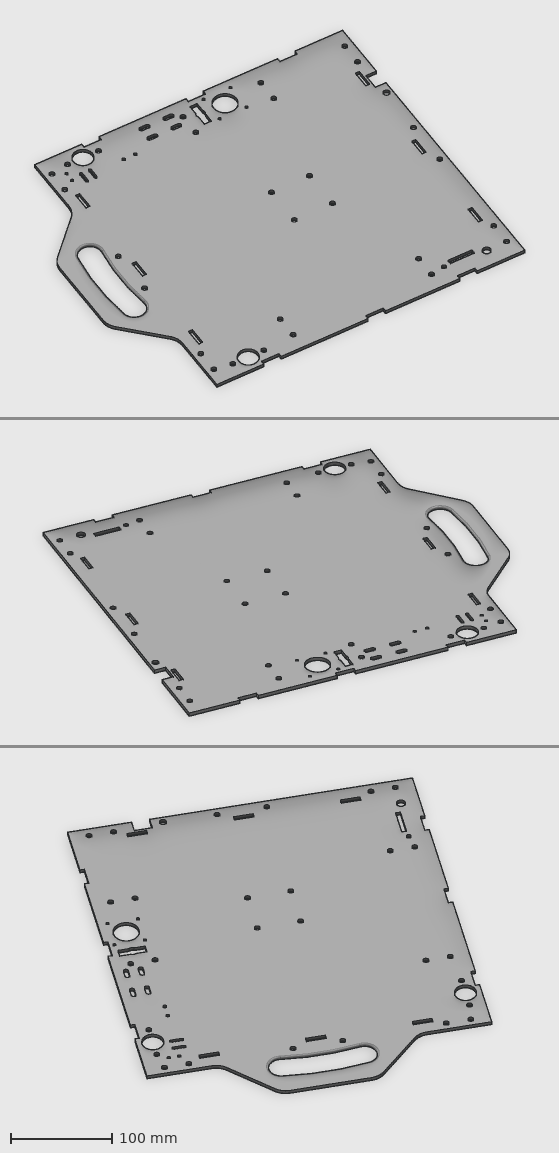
import cadquery as cq
import math

width = 350.0
length = 407.0
thickness = 4.0
side_x = width / 2
back_y = length / 2
handle_y = -length / 2
shoulder_y = -152.2
shoulder_x = 101.0
handle_corner_x = shoulder_x - (shoulder_y - handle_y)
handle_corner_radius = 20.0

grip_half_span = 42.5
grip_y = -168.0
grip_sag = 3.3
grip_width = 29.0

tab_length = 20.0
tab_width = 4.5
tab_slot_x = 108.3
tab_slot_rows = [186.5, -136.8]
notch_rows = [138.5, 32.5, -88.0]

cable_notch_x = -101.0
cable_notch_width = 18.5
cable_notch_depth = 12.2

screw_diameter = 5.5
inner_screw_x = 130.5
outer_screw_x = 155.5
left_screw_rows = [194.0, 97.3, 7.5, -144.0]
right_screw_rows = [194.0, 107.5, -52.5, -144.0]
middle_screw_x = 25.2
middle_screw_rows = [195.5, -145.7]

mount_y = 51.3
mount_half_pitch = 22.0

fan_diameter = 26.0
fan_x = -149.8
fan_y = 52.5
fan_screw_offset = 15.5
fan_screw_diameter = 3.0

port_diameter = 22.0
port_x = 158.7
port_y = -106.2
port_screw_offset = 18.0

back_hole = (-79.8, 197.0)
back_hole_diameter = 7.0
side_hole = (156.0, 171.0)
side_hole_diameter = 9.0
slot_screw = (153.0, 123.5)
slot_screw_diameter = 5.0

pin_column_diameter = 3.5
pin_column_x = -136.0
pin_column_rows = [-59.5, -73.0]
pin_row_diameter = 3.1
pin_row_y = -131.5
pin_row_columns = [-148.0, -137.5]

side_slot = (150.0, 145.0)
side_slot_length = 27.5
side_slot_width = 5.0

switch = (-149.8, 24.5)
switch_length = 27.5
switch_width = 8.0
switch_bore = 9.8

hook_columns = [-162.5, -147.5]
hook_rows = [-5.3, -33.0]
hook_length = 12.0
hook_width = 5.0
tie_x = -135.0
tie_rows = [-109.0, -119.3]
tie_length = 14.2
tie_width = 3.0


def grid(columns, rows):
    return [(x, y) for x in columns for y in rows]


def square(x, y, offset):
    """The four corners of a square around (x, y)."""
    return grid([x - offset, x + offset], [y - offset, y + offset])


def holes(points, diameter):
    return cq.Workplane("XY").pushPoints(points).circle(diameter / 2).extrude(thickness)


def rect_slots(points, size_x, size_y):
    return cq.Workplane("XY").pushPoints(points).rect(size_x, size_y).extrude(thickness)


def round_slots(points, slot_length, slot_width, angle):
    sketch = cq.Workplane("XY").pushPoints(points)
    return sketch.slot2D(slot_length, slot_width, angle).extrude(thickness)


def body():
    """Rectangular plate with the tapered handle, its four handle bends rounded."""
    outline = [
        (-side_x, back_y),
        (side_x, back_y),
        (side_x, shoulder_y),
        (shoulder_x, shoulder_y),
        (handle_corner_x, handle_y),
        (-handle_corner_x, handle_y),
        (-shoulder_x, shoulder_y),
        (-side_x, shoulder_y),
    ]
    plate = cq.Workplane("XY").polyline(outline).close().extrude(thickness)
    margin = 4
    handle_area = cq.selectors.BoxSelector(
        (-shoulder_x - margin, handle_y - margin, -margin),
        (shoulder_x + margin, shoulder_y + margin, thickness + margin),
    )
    return plate.edges("|Z").edges(handle_area).fillet(handle_corner_radius)


def grip_outline():
    """Bent slot whose long sides are concentric arcs and whose ends are round."""
    bend_radius = (grip_half_span**2 + grip_sag**2) / (2 * grip_sag)
    bend_y = grip_y - grip_sag + bend_radius
    half_angle = math.asin(grip_half_span / bend_radius)
    end_radius = grip_width / 2
    near = bend_radius - end_radius
    far = bend_radius + end_radius
    tip_x = grip_half_span + end_radius * math.cos(half_angle)
    tip_y = grip_y + end_radius * math.sin(half_angle)

    def on_arc(radius, angle):
        return (radius * math.sin(angle), bend_y - radius * math.cos(angle))

    return (
        cq.Workplane("XY")
        .moveTo(*on_arc(near, -half_angle))
        .threePointArc(on_arc(near, 0), on_arc(near, half_angle))
        .threePointArc((tip_x, tip_y), on_arc(far, half_angle))
        .threePointArc(on_arc(far, 0), on_arc(far, -half_angle))
        .threePointArc((-tip_x, tip_y), on_arc(near, -half_angle))
        .close()
    )


def grip_rim():
    """Round bar along the grip outline; its inner half forms the rounded rim."""
    path = grip_outline().translate((0, 0, thickness / 2))
    start = path.val().startPoint().toTuple()
    direction = path.val().tangentAt(0).toTuple()
    section = cq.Plane(origin=start, normal=direction)
    return cq.Workplane(section).circle(thickness / 2).sweep(path)


def edge_and_slot_cutters():
    tab_slots = grid([-tab_slot_x, 0, tab_slot_x], tab_slot_rows)
    side_notches = grid([-side_x, side_x], notch_rows)
    return [
        rect_slots(tab_slots, tab_length, tab_width),
        rect_slots(side_notches, 2 * tab_width, tab_length),
        rect_slots([(cable_notch_x, back_y)], cable_notch_width, 2 * cable_notch_depth),
        rect_slots([side_slot], side_slot_width, side_slot_length),
        rect_slots([switch], switch_length, switch_width),
        holes([switch], switch_bore),
        round_slots(grid(hook_columns, hook_rows), hook_length, hook_width, 90),
        round_slots(grid([tie_x], tie_rows), tie_length, tie_width, 0),
    ]


def hole_cutters():
    port_screw_rows = [port_y - port_screw_offset, port_y + port_screw_offset]
    screws = (
        grid([-outer_screw_x, -inner_screw_x], left_screw_rows)
        + grid([inner_screw_x, outer_screw_x], right_screw_rows)
        + grid([-middle_screw_x, middle_screw_x], middle_screw_rows)
        + square(0, mount_y, mount_half_pitch)
        + grid([-port_x, port_x], port_screw_rows)
    )
    return [
        holes(screws, screw_diameter),
        holes([(fan_x, fan_y)], fan_diameter),
        holes(square(fan_x, fan_y, fan_screw_offset), fan_screw_diameter),
        holes(grid([-port_x, port_x], [port_y]), port_diameter),
        holes([back_hole], back_hole_diameter),
        holes([side_hole], side_hole_diameter),
        holes([slot_screw], slot_screw_diameter),
        holes(grid([pin_column_x], pin_column_rows), pin_column_diameter),
        holes(grid(pin_row_columns, [pin_row_y]), pin_row_diameter),
    ]


result = body().cut(grip_outline().extrude(thickness)).union(grip_rim())
for cutter in edge_and_slot_cutters() + hole_cutters():
    result = result.cut(cutter)